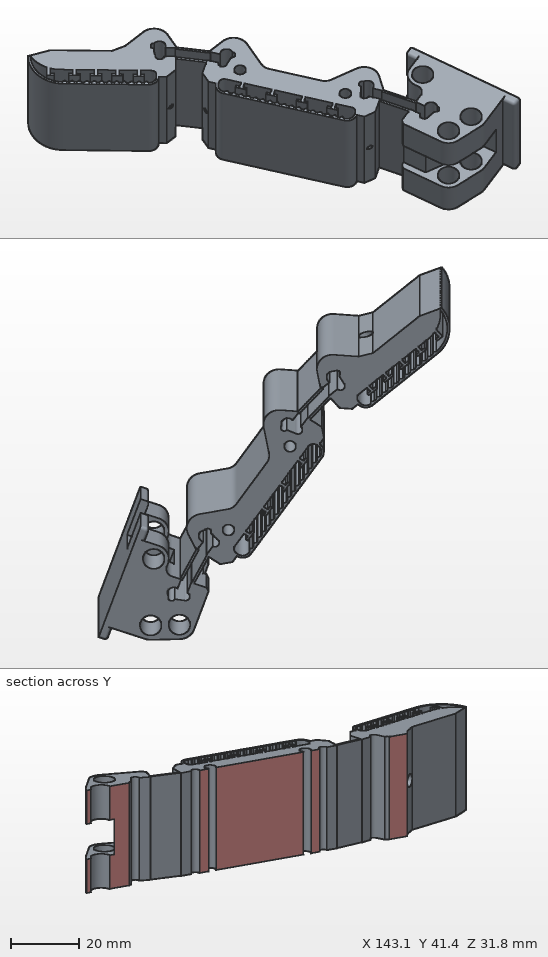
import cadquery as cq
import math

height = 31.8
mid_height = height / 2

tip_hinge_length = 9.6
palm_hinge_length = 10.0
joint_turn = 15
band_thickness = 0.7
hinge_gap = 2.9
pocket_neck_top = 1.9
pocket_neck_bottom = -1.3
band_overlap = 0.5

middle_half = 26.3
back_level = 0.6
hump_x = -6.5
hump_y = 4.5
hump_radius = 4.6
hump_front_slope = 60
hump_rear_slope = 45
back_fillet = 3.9
lobe_chamfer = 2.6

pad_front = -4.9
pad_bottom = -11.9
pad_corner = 3.0
pad_wall = 0.7
lobe_bottom = pad_bottom + pad_corner
cavity_top = -6.6
cavity_top_corner = 1.6
cavity_front = pad_front - pad_wall
cavity_bottom = pad_bottom + pad_wall
cavity_corner = pad_corner - pad_wall

stud_neck = 1.0
stud_head_width = 3.3
stud_head_thickness = 0.7
stud_head_bottom = -8.7
tooth_width = 1.5
tooth_height = 0.6
middle_stud_pitch = 9.3
middle_stud_count = 4
middle_teeth_span = 35.0
middle_teeth_count = 17
tip_first_stud = -10.7
tip_stud_pitch = 6.3
tip_stud_count = 4
tip_end_stud = -37.2
tip_first_tooth = -8.5
tip_teeth_span = 24.0
tip_teeth_count = 12

facet_top_x = -14.9
facet_bottom_x = -18.7
nose_shoulder_x = -36.8
tip_radius = 10.5
tip_arc_x = -32.9
nose_drop = 0.3
ceiling_radius = 10.3
ceiling_arc_x = -33.9

pivot_diameter = 3.5
pivot_from_center = 16.0
pivot_y = -2.1
tendon_diameter = 1.3
tendon_y = -7.6
anchor_diameter = 3.9

plate_left = -11.9
plate_right = 25.6
plate_top = 18.6
plate_bottom = 15.9
plate_fillet = 1.0
palm_left = -7.9
palm_right = 21.3
palm_bottom = -7.0
palm_corner = 1.0
palm_inner_fillet = 2.5
palm_bore = 6.3
boss_left_radius = 4.5
boss_left = (palm_left + boss_left_radius, 11.6)
boss_radius = 4.6
boss_low = (13.7, palm_bottom + boss_radius)
boss_right = (palm_right - boss_radius, 5.5)

slot_height = 10.7
slot_margin = 2.9
slot_step_x = 0.1
slot_bevel_left = 10.9
slot_bevel_right = 14.7
slot_upper_right = 12.0
slot_lower_ledge = -5.0
slot_ramp_x = 7.5
slot_ramp_slope = 60
slot_ramp_top = 4.0


def polar(center, radius, angle):
    """Point on a circle, with the angle in degrees from +X."""
    turn = math.radians(angle)
    return center[0] + radius * math.cos(turn), center[1] + radius * math.sin(turn)


def disc(x, y, radius):
    return cq.Workplane("XY").center(x, y).circle(radius).extrude(height)


def block(x_min, x_max, y_min, y_max):
    corner_block = cq.Workplane("XY").box(x_max - x_min, y_max - y_min, height, centered=False)
    return corner_block.translate((x_min, y_min, 0))


def prism(points):
    return cq.Workplane("XY").polyline(points).close().extrude(height)


hump_center = (hump_x, hump_y)
hump_front = polar(hump_center, hump_radius, 90 - hump_front_slope)
hump_top = polar(hump_center, hump_radius, 90)
hump_rear = polar(hump_center, hump_radius, 90 + hump_rear_slope)
hump_toe_y = hump_front[1] + hump_front[0] * math.tan(math.radians(hump_front_slope))
rear_rise = math.tan(math.radians(hump_rear_slope))


def rear_line_y(x):
    """Height of the sloping line behind the hump."""
    return hump_rear[1] + (x - hump_rear[0]) * rear_rise


def start_at_hump(path):
    path = path.moveTo(0, hump_toe_y).lineTo(*hump_front)
    return path.threePointArc(hump_top, hump_rear)


def close_at_lobe(path):
    """Finish a link outline along its pad floor, the pad corner and the lobe under the hinge."""
    corner_center = (pad_front - pad_corner, lobe_bottom)
    path = path.lineTo(corner_center[0], pad_bottom)
    path = path.threePointArc(polar(corner_center, pad_corner, -45), (pad_front, lobe_bottom))
    path = path.lineTo(-lobe_chamfer, lobe_bottom).lineTo(0, lobe_bottom + lobe_chamfer)
    return path.close()


def hinge_pocket():
    """Slot between the flexure bands, ending in a keyed opening with three round corners."""
    upper = (-4.9, 2.5, 1.9)
    rear = (-6.5, 2.6, 1.0)
    lower = (-4.7, -1.1, 1.3)
    pocket = block(upper[0], band_overlap, pocket_neck_bottom, pocket_neck_top)
    web = [
        (upper[0] - upper[2], upper[1]),
        (lower[0] - lower[2], lower[1]),
        (lower[0] + lower[2], lower[1]),
        (upper[0] + upper[2], upper[1]),
    ]
    pocket = pocket.union(prism(web))
    for x, y, radius in (upper, rear, lower):
        pocket = pocket.union(disc(x, y, radius))
    return pocket


def cavity_front_end(path):
    """Rounded front end of a pad cavity, from its ceiling to its floor."""
    top_center = (cavity_front - cavity_top_corner, cavity_top - cavity_top_corner)
    floor_center = (cavity_front - cavity_corner, cavity_bottom + cavity_corner)
    path = path.lineTo(top_center[0], cavity_top)
    path = path.threePointArc(polar(top_center, cavity_top_corner, 45), (cavity_front, top_center[1]))
    path = path.lineTo(cavity_front, floor_center[1])
    return path.threePointArc(polar(floor_center, cavity_corner, -45), (floor_center[0], cavity_bottom))


def stud(x, head_left=stud_head_width / 2):
    """T-shaped stud hanging from the cavity ceiling."""
    head_top = stud_head_bottom + stud_head_thickness
    neck = block(x - stud_neck / 2, x + stud_neck / 2, head_top, cavity_top + stud_neck)
    return neck.union(block(x - head_left, x + stud_head_width / 2, stud_head_bottom, head_top))


def teeth(first_x, span, count):
    """Row of triangular teeth on the pad floor, running toward -X; each root sinks into the wall."""
    root = cavity_bottom - pad_wall / 2
    row = []
    for index in range(count):
        x = first_x - span * index / (count - 1)
        left = x - tooth_width / 2
        right = x + tooth_width / 2
        tooth = [(left, root), (right, root), (right, cavity_bottom),
                 (x, cavity_bottom + tooth_height), (left, cavity_bottom)]
        row.append(prism(tooth))
    return row


def tendon_hole():
    """Fine bore from the lobe face into the pad cavity."""
    bore = cq.Workplane("YZ").center(tendon_y, mid_height).circle(tendon_diameter / 2)
    return bore.extrude(cavity_front - band_overlap)


def middle_half_link():
    fillet_reach = back_fillet * math.tan(math.radians(hump_rear_slope / 2))
    back_corner_x = hump_rear[0] - (hump_rear[1] - back_level) / rear_rise
    fillet_center = (back_corner_x - fillet_reach, back_level + back_fillet)
    path = start_at_hump(cq.Workplane("XY"))
    path = path.lineTo(*polar(fillet_center, back_fillet, hump_rear_slope - 90))
    path = path.threePointArc(
        polar(fillet_center, back_fillet, hump_rear_slope / 2 - 90),
        (fillet_center[0], back_level),
    )
    path = path.lineTo(-middle_half, back_level).lineTo(-middle_half, pad_bottom)
    link = close_at_lobe(path).extrude(height)

    cavity = cavity_front_end(cq.Workplane("XY").moveTo(-middle_half, cavity_top))
    link = link.cut(cavity.lineTo(-middle_half, cavity_bottom).close().extrude(height))
    link = link.cut(hinge_pocket()).cut(tendon_hole())
    return link.cut(disc(pivot_from_center - middle_half, pivot_y, pivot_diameter / 2))


def middle_link():
    """Middle link, centred on X = 0 with a hinge at each end."""
    half = middle_half_link().translate((middle_half, 0, 0))
    link = half.union(half.mirror("YZ"))
    for index in range(middle_stud_count):
        link = link.union(stud((index - (middle_stud_count - 1) / 2) * middle_stud_pitch))
    for tooth in teeth(middle_teeth_span / 2, middle_teeth_span, middle_teeth_count):
        link = link.union(tooth)
    return link


def fingertip():
    arc_center = (tip_arc_x, pad_bottom + tip_radius)
    nose_angle = 180 + math.degrees(math.asin(nose_drop / tip_radius))
    path = start_at_hump(cq.Workplane("XY"))
    path = path.lineTo(facet_top_x, rear_line_y(facet_top_x)).lineTo(facet_bottom_x, back_level)
    path = path.lineTo(nose_shoulder_x, back_level)
    path = path.lineTo(*polar(arc_center, tip_radius, nose_angle))
    path = path.threePointArc(
        polar(arc_center, tip_radius, (nose_angle + 270) / 2),
        (tip_arc_x, pad_bottom),
    )
    tip = close_at_lobe(path).extrude(height)

    inner_radius = tip_radius - pad_wall
    cavity = cavity_front_end(cq.Workplane("XY").moveTo(ceiling_arc_x, cavity_top))
    cavity = cavity.lineTo(tip_arc_x, cavity_bottom)
    cavity = cavity.threePointArc(
        polar(arc_center, inner_radius, 225),
        polar(arc_center, inner_radius, 180),
    )
    cavity = cavity.lineTo(ceiling_arc_x, arc_center[1]).close().extrude(height)
    cavity = cavity.cut(disc(ceiling_arc_x, cavity_top + ceiling_radius, ceiling_radius))
    tip = tip.cut(cavity).cut(hinge_pocket()).cut(tendon_hole())

    anchor_x = (facet_top_x + facet_bottom_x) / 2
    anchor = cq.Workplane("ZX", origin=(anchor_x, cavity_top, mid_height))
    tip = tip.cut(anchor.circle(anchor_diameter / 2).extrude(hump_top[1] - cavity_top))

    for index in range(tip_stud_count):
        tip = tip.union(stud(tip_first_stud - index * tip_stud_pitch))
    tip = tip.union(stud(tip_end_stud, stud_neck / 2))
    for tooth in teeth(tip_first_tooth, tip_teeth_span, tip_teeth_count):
        tip = tip.union(tooth)
    return tip


def palm_slot():
    """Stepped slot that parts the palm block into an upper and a lower cheek around a core."""
    left = plate_left - slot_margin
    right = plate_right + slot_margin
    top = plate_top + slot_margin
    bottom = palm_bottom - slot_margin
    ramp_run = (slot_ramp_top - slot_lower_ledge) / math.tan(math.radians(slot_ramp_slope))
    outline = [
        (left, top),
        (slot_step_x, top),
        (slot_step_x, plate_bottom),
        (slot_bevel_left, plate_bottom),
        (slot_bevel_right, slot_upper_right),
        (right, slot_upper_right),
        (right, bottom),
        (-slot_margin, bottom),
        (-slot_margin, slot_lower_ledge),
        (slot_ramp_x, slot_lower_ledge),
        (slot_ramp_x + ramp_run, slot_ramp_top),
        (left, slot_ramp_top),
    ]
    slot = cq.Workplane("XY", origin=(0, 0, mid_height)).polyline(outline).close()
    return slot.extrude(slot_height / 2, both=True)


def palm():
    plate = block(plate_left, plate_right, plate_bottom, plate_top)
    plate = plate.edges("|Y or <Y").fillet(plate_fillet)

    boss_slope = math.degrees(math.atan2(boss_right[1] - boss_low[1], boss_right[0] - boss_low[0]))
    tangent_angle = boss_slope - 90
    boss_left_bottom = boss_left[1] - boss_left_radius
    inner_center = (-palm_inner_fillet, boss_left_bottom - palm_inner_fillet)
    body = cq.Workplane("XY").moveTo(palm_left, plate_top).lineTo(palm_left, boss_left[1])
    body = body.threePointArc(
        polar(boss_left, boss_left_radius, 225),
        (boss_left[0], boss_left_bottom),
    )
    body = body.lineTo(inner_center[0], boss_left_bottom)
    body = body.threePointArc(polar(inner_center, palm_inner_fillet, 45), (0, inner_center[1]))
    body = body.lineTo(0, palm_bottom + palm_corner).lineTo(palm_corner, palm_bottom)
    body = body.lineTo(boss_low[0], palm_bottom)
    body = body.threePointArc(
        polar(boss_low, boss_radius, (tangent_angle - 90) / 2),
        polar(boss_low, boss_radius, tangent_angle),
    )
    body = body.lineTo(*polar(boss_right, boss_radius, tangent_angle))
    body = body.threePointArc(
        polar(boss_right, boss_radius, tangent_angle / 2),
        (palm_right, boss_right[1]),
    )
    body = body.lineTo(palm_right, plate_top).close().extrude(height)

    solid = plate.union(body)
    for x, y in (boss_left, boss_low, boss_right):
        solid = solid.cut(disc(x, y, palm_bore / 2))
    return solid.cut(hinge_pocket().mirror("YZ")).cut(palm_slot())


def hinge_bands(length, turn):
    """Two parallel flexure bands leaning down from the right hinge of the middle link."""
    inner = hinge_gap / 2
    outer = inner + band_thickness
    upper = block(-band_overlap, length + band_overlap, inner, outer)
    lower = block(-band_overlap, length + band_overlap, -outer, -inner)
    return place(upper.union(lower), -turn, (middle_half, 0))


def place(solid, turn, hinge_point):
    return solid.rotate((0, 0, 0), (0, 0, 1), turn).translate((hinge_point[0], hinge_point[1], 0))


band_turn = joint_turn / 2
palm_hinge = polar((middle_half, 0), palm_hinge_length, -band_turn)
tip_hinge = polar((-middle_half, 0), tip_hinge_length, 180 + band_turn)

result = middle_link()
result = result.union(hinge_bands(palm_hinge_length, band_turn))
result = result.union(hinge_bands(tip_hinge_length, band_turn).mirror("YZ"))
result = result.union(place(fingertip(), joint_turn, tip_hinge))
result = result.union(place(palm(), -joint_turn, palm_hinge))